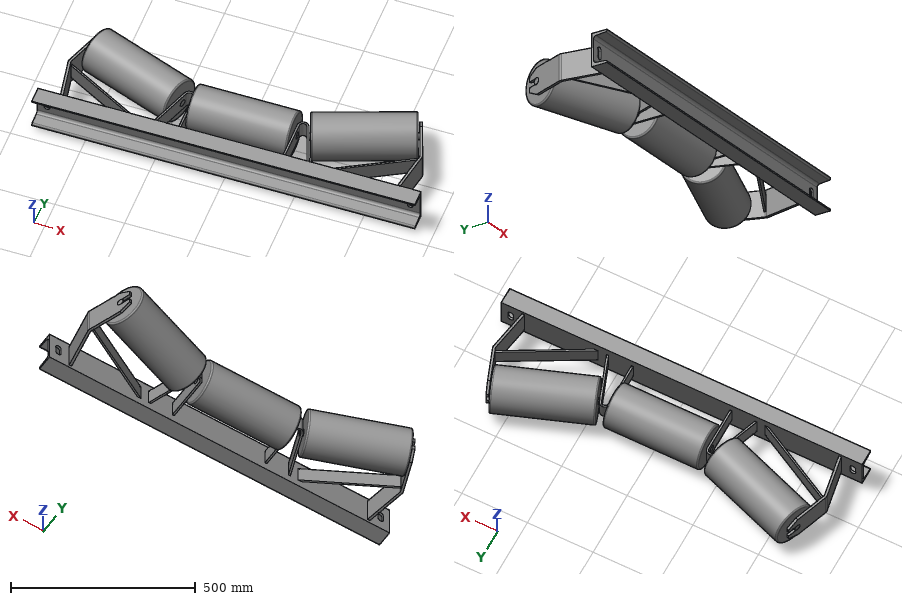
import cadquery as cq
import math


beam_length = 1100.0
beam_height = 100.0
beam_depth = 50.0
web_thickness = 7.0
flange_thickness = 9.0
flange_slope = 0.08
root_radius = 9.0
toe_radius = 4.0
slot_width = 16.0
slot_height = 36.0
slot_end_distance = 29.0

roller_diameter = 133.0
roller_length = 290.0
rim_radius = 4.0
shaft_diameter = 20.0
trough_angle = 20.0
center_roller_y = 118.0
side_roller_y = 176.0

outer_width = 80.0
side_clearance = 4.0
center_clearance = 1.6

inner_width = 50.0
inner_thickness = 6.0
inner_bend_radius = 16.0
inner_bend_y = 133.0

outer_thickness = 8.0
outer_bend_radius = 16.0
outer_kink_y = 129.0
outer_lean = 10.0
outer_tip_reach = 32.0
outer_tip_width = 45.0
outer_tip_taper = 33.0
shaft_slot_width = 18.0

brace_thickness = 5.0
brace_width = 50.0
brace_head_y = 133.0
brace_angle = 28.5

cos_trough = math.cos(math.radians(trough_angle))
sin_trough = math.sin(math.radians(trough_angle))
half_roller = roller_length / 2

inner_face_x = -(half_roller + center_clearance)
bend_x = inner_face_x - inner_bend_radius

bracket_offset = half_roller + side_clearance
bend_offset = bracket_offset + inner_bend_radius
side_roller_x = bend_x - (bend_offset + (inner_bend_y - side_roller_y) * sin_trough) / cos_trough
outer_face_offset = bracket_offset + outer_thickness


def tilt_into_place(body):
    """Move a body from the side roller's own frame (axis along X) to the left roller's place."""
    return body.rotate((0, 0, 0), (0, 0, 1), -trough_angle).translate((side_roller_x, side_roller_y, 0))


def side_point(along, across):
    """XY point of the left roller's frame: 'along' its axis, 'across' it upward."""
    return (
        side_roller_x + along * cos_trough + across * sin_trough,
        side_roller_y - along * sin_trough + across * cos_trough,
    )


def drop_to_beam(point, lean):
    """Point on Y = 0 reached from 'point' by a line leaning 'lean' degrees; positive runs to -X."""
    return (point[0] - point[1] * math.tan(math.radians(lean)), 0)


def round_flanges(beam, y, z, radius):
    """Round the lengthwise edges at (y, z) of the upper flange and (y, -z) of the lower one."""
    for edge_z in (z, -z):
        beam = beam.edges(cq.selectors.NearestToPointSelector((0, y, edge_z))).fillet(radius)
    return beam


def make_beam():
    half_height = beam_height / 2
    flange_middle = beam_depth / 2
    toe_z = half_height - flange_thickness + flange_slope * flange_middle
    root_z = half_height - flange_thickness - flange_slope * (flange_middle - web_thickness)
    beam = (
        cq.Workplane("YZ")
        .polyline([
            (0, -half_height), (-beam_depth, -half_height), (-beam_depth, -toe_z), (-web_thickness, -root_z),
            (-web_thickness, root_z), (-beam_depth, toe_z), (-beam_depth, half_height), (0, half_height),
        ])
        .close()
        .extrude(beam_length)
        .translate((-beam_length / 2, 0, 0))
    )
    beam = round_flanges(beam, -web_thickness, root_z, root_radius)
    beam = round_flanges(beam, -beam_depth, toe_z, toe_radius)
    slot_x = beam_length / 2 - slot_end_distance
    slots = (
        cq.Workplane("XZ")
        .pushPoints([(-slot_x, 0), (slot_x, 0)])
        .slot2D(slot_height, slot_width, 90)
        .extrude(beam_depth)
    )
    return beam.cut(slots)


def make_shaft(start, end):
    return cq.Workplane("YZ").workplane(offset=start).circle(shaft_diameter / 2).extrude(end - start)


def make_roller(shaft_start, shaft_end):
    """Roller along X about the origin, with its shaft showing at both ends."""
    drum = (
        cq.Workplane("YZ")
        .circle(roller_diameter / 2)
        .extrude(roller_length)
        .translate((-half_roller, 0, 0))
        .edges("%CIRCLE")
        .fillet(rim_radius)
    )
    return drum.union(make_shaft(shaft_start, shaft_end))


center_shaft_end = -inner_face_x + inner_thickness
side_shaft_outer = -outer_face_offset
side_shaft_inner = bracket_offset + inner_thickness


def make_inner_bracket():
    inside_radius = inner_bend_radius - inner_thickness

    def on_bend(radius, degrees):
        angle = math.radians(degrees)
        return (bend_x + radius * math.cos(angle), inner_bend_y + radius * math.sin(angle))

    slope_start = 180 - trough_angle
    bend_middle = slope_start / 2
    outside_slope = on_bend(inner_bend_radius, slope_start)
    inside_slope = on_bend(inside_radius, slope_start)
    bracket = (
        cq.Workplane("XY")
        .moveTo(inner_face_x, 0)
        .lineTo(*on_bend(inner_bend_radius, 0))
        .threePointArc(on_bend(inner_bend_radius, bend_middle), outside_slope)
        .lineTo(*drop_to_beam(outside_slope, trough_angle))
        .lineTo(*drop_to_beam(inside_slope, trough_angle))
        .lineTo(*inside_slope)
        .threePointArc(on_bend(inside_radius, bend_middle), on_bend(inside_radius, 0))
        .lineTo(inner_face_x - inner_thickness, 0)
        .close()
        .extrude(inner_width)
        .translate((0, 0, -inner_width / 2))
    )
    center_hole = make_shaft(-center_shaft_end, inner_face_x).translate((0, center_roller_y, 0))
    side_hole = tilt_into_place(make_shaft(bracket_offset, side_shaft_inner))
    return bracket.cut(center_hole).cut(side_hole)


kink_across = (outer_kink_y - side_roller_y - outer_face_offset * sin_trough) / cos_trough
half_bend = (trough_angle + outer_lean) / 2
kink_outside = side_point(-outer_face_offset, kink_across)
kink_inside = side_point(-bracket_offset, kink_across + outer_thickness * math.tan(math.radians(half_bend)))


def make_outer_bracket():
    bracket = (
        cq.Workplane("XY")
        .polyline([
            side_point(-outer_face_offset, outer_tip_reach), kink_outside,
            drop_to_beam(kink_outside, -outer_lean), drop_to_beam(kink_inside, -outer_lean),
            kink_inside, side_point(-bracket_offset, outer_tip_reach),
        ])
        .close()
        .extrude(outer_width)
        .translate((0, 0, -outer_width / 2))
    )
    for corner, radius in (
        (kink_outside, outer_bend_radius),
        (kink_inside, outer_bend_radius - outer_thickness),
    ):
        bracket = bracket.edges(cq.selectors.NearestToPointSelector((*corner, 0))).fillet(radius)

    for side in (-1, 1):
        corner_cut = (
            cq.Workplane("YZ")
            .workplane(offset=-outer_face_offset)
            .polyline([
                (outer_tip_reach, side * outer_width / 2),
                (outer_tip_reach, side * outer_tip_width / 2),
                (outer_tip_reach - outer_tip_taper, side * outer_width / 2),
            ])
            .close()
            .extrude(outer_thickness)
        )
        bracket = bracket.cut(tilt_into_place(corner_cut))

    shaft_slot = (
        cq.Workplane("YZ")
        .workplane(offset=-outer_face_offset)
        .center(outer_tip_reach / 2, 0)
        .rect(outer_tip_reach, shaft_slot_width)
        .extrude(outer_thickness)
        .union(make_shaft(-outer_face_offset, -bracket_offset))
    )
    return bracket.cut(tilt_into_place(shaft_slot))


def make_brace(outer_bracket):
    slope = math.radians(brace_angle)
    half_foot = brace_thickness / 2 / math.sin(slope)
    head_x = (kink_inside[0] + kink_outside[0]) / 2
    foot_x = head_x + brace_head_y / math.tan(slope)
    half_head = brace_thickness / 2 / math.cos(slope)
    brace = (
        cq.Workplane("XY")
        .polyline([
            (foot_x - half_foot, 0), (foot_x + half_foot, 0),
            (head_x, brace_head_y + half_head), (head_x, brace_head_y - half_head),
        ])
        .close()
        .extrude(brace_width)
        .translate((0, 0, -brace_width / 2))
    )
    return brace.cut(outer_bracket)


beam = make_beam()
center_roller = make_roller(-center_shaft_end, center_shaft_end).translate((0, center_roller_y, 0))
side_roller = tilt_into_place(make_roller(side_shaft_outer, side_shaft_inner))
inner_bracket = make_inner_bracket()
outer_bracket = make_outer_bracket()
brace = make_brace(outer_bracket)

bodies = [beam.val(), center_roller.val()]
for left_body in (side_roller, inner_bracket, outer_bracket, brace):
    bodies.append(left_body.val())
    bodies.append(left_body.mirror("YZ").val())

result = cq.Compound.makeCompound(bodies)